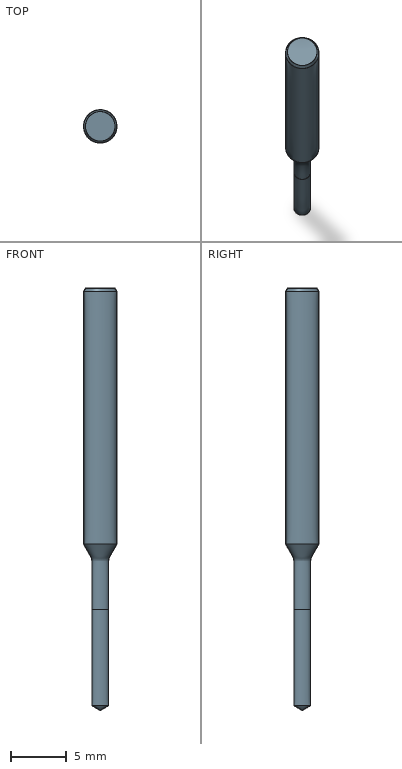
import cadquery as cq
import math

total_length = 38.0
shank_diameter = 3.0
neck_diameter = 1.52

shank_bottom = 14.97
joint_height = 9.1

chamfer_height = 0.3
chamfer_inset = 0.17
taper_half_angle = math.radians(30)
blend_radius = 1.0
point_half_angle = math.radians(59)

shank_radius = shank_diameter / 2
neck_radius = neck_diameter / 2
point_height = neck_radius / math.tan(point_half_angle)

cone_end = shank_bottom - (shank_radius - neck_radius) / math.tan(taper_half_angle)
blend_bottom = cone_end - blend_radius * math.tan(taper_half_angle / 2)


def blend_point(angle):
    """Point on the blend arc, where angle 0 is its tangent point on the neck."""
    return (
        neck_radius + blend_radius * (1 - math.cos(angle)),
        blend_bottom + blend_radius * math.sin(angle),
    )


def make_holder():
    """Chamfered shank, taper and upper neck, ending at the flat joint."""
    return (
        cq.Workplane("XZ")
        .moveTo(0, joint_height)
        .lineTo(neck_radius, joint_height)
        .lineTo(neck_radius, blend_bottom)
        .threePointArc(blend_point(taper_half_angle / 2), blend_point(taper_half_angle))
        .lineTo(shank_radius, shank_bottom)
        .lineTo(shank_radius, total_length - chamfer_height)
        .lineTo(shank_radius - chamfer_inset, total_length)
        .lineTo(0, total_length)
        .close()
        .revolve(360, (0, 0, 0), (0, 1, 0))
    )


def make_cutter():
    """Cylindrical cutter with a conical point, butted against the joint."""
    return (
        cq.Workplane("XZ")
        .moveTo(0, 0)
        .lineTo(neck_radius, point_height)
        .lineTo(neck_radius, joint_height)
        .lineTo(0, joint_height)
        .close()
        .revolve(360, (0, 0, 0), (0, 1, 0))
    )


holder = make_holder()
cutter = make_cutter()
result = cq.Compound.makeCompound([holder.val(), cutter.val()])